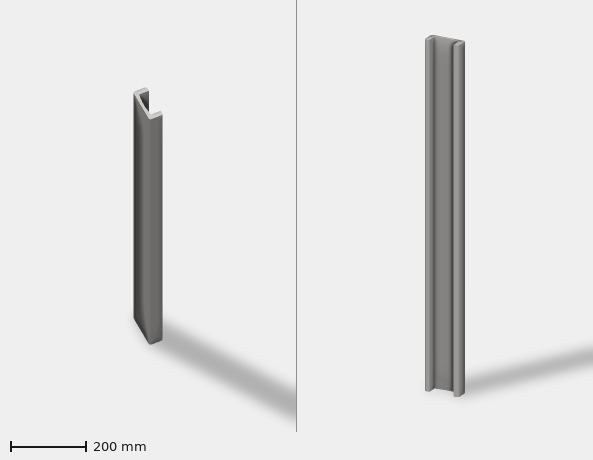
import cadquery as cq

width = 103.0
depth = 40.0
length = 1000.0

flange_thickness = 15.0
web_thickness = 8.0
haunch_width = 28.0
haunch_height = 3.0
outer_radius = 5.7

half_width = width / 2
half_opening = half_width - flange_thickness
half_floor = half_opening - haunch_width
front = -depth / 2
back = depth / 2
floor = front + web_thickness


def channel_body():
    """Rectangular bar with rounded long edges."""
    bar = cq.Workplane("XY").box(width, depth, length)
    return bar.edges("|Z").fillet(outer_radius)


def channel_opening():
    """Space between the flanges, with a floor that slopes up at both sides."""
    half_outline = [
        (half_floor, floor),
        (half_opening, floor + haunch_height),
        (half_opening, back),
    ]
    mirrored_outline = [(-x, y) for x, y in reversed(half_outline)]
    return (
        cq.Workplane("XY")
        .workplane(offset=-length / 2)
        .polyline(half_outline + mirrored_outline)
        .close()
        .extrude(length)
    )


result = channel_body().cut(channel_opening())